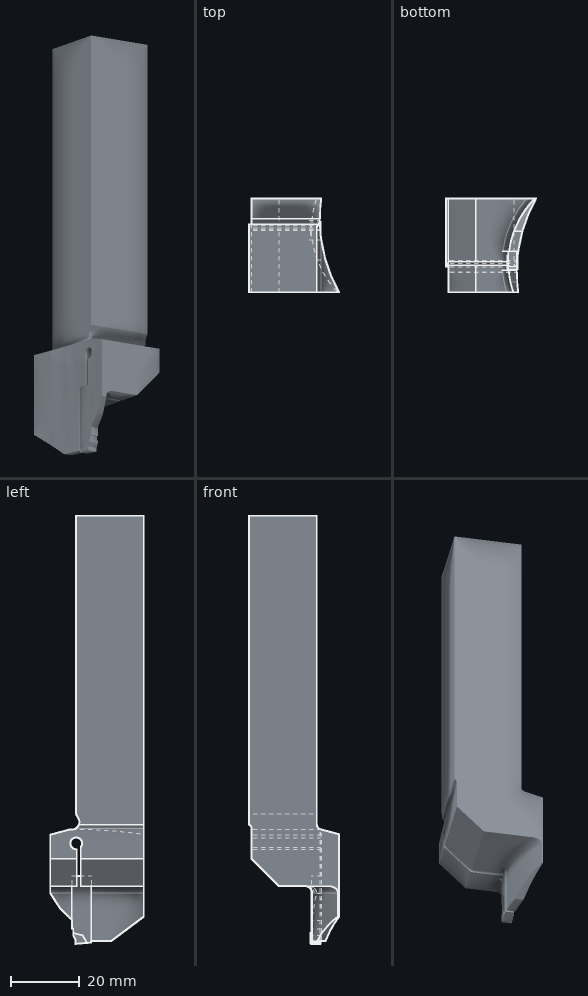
import cadquery as cq
import math


TOTAL_HEIGHT = 125
HEAD_RIGHT = 26.4
HEAD_DEPTH = 27.4

SHANK_SIZE = 19.9
RELIEF_DEPTH = 0.8
RELIEF_TOP = 38.0
RELIEF_FILLET_TOP = 36.6
NECK_Z = 34.9

HEAD_LEFT = 0.8
HEAD_BOTTOM = 16.9
HEAD_CHAMFER = 8.0
HEAD_LEFT_TOP = 33.8
LEDGE_START_Z = 33.5
RIGHT_LEDGE_OFFSET = 1.1
BACK_LEDGE_OFFSET = 1.6
LEDGE_ANGLE = 15

BLADE_OUTER_AXIS_Y = 18.8
BLADE_OUTER_X = 18.2
BLADE_OUTER_FRONT_X = 26.0
BLADE_INNER_AXIS_Y = 21.2
BLADE_INNER_X = 20.8
BLADE_FILLET = 1.9
BLADE_TIP_Z = 0.9
BLADE_FRONT_Z = 8.0
BLADE_TIP_FRONT_Y = 9.5
JAW_TIP_Z = 7.0
JAW_KNEE_Y = 24.4
JAW_KNEE_Z = 10.2
JAW_BACK_Z = 14.9

SLIT_Y = 19.0
SLIT_WIDTH = 1.1
SLIT_HOLE_Y = 19.8
SLIT_HOLE_Z = 29.4
SLIT_HOLE_DIAMETER = 3.4

INSERT_FRONT_Y = 15.4
INSERT_BACK_Y = 21.0
INSERT_TOP = 19.9
EDGE_OVERHANG = 0.2
RAKE_TOP_Z = 4.5
RAKE_Y = 20.6
EDGE_Y = 20.0
EDGE_Z = 1.2
RAKE_BOTTOM_Z = 2.5
HEEL_Z = 0.4
WIDE_END_TOP = 3.2
WIDE_END_SHOULDER_Y = 17.9
WIDE_END_SHOULDER_Z = 2.5
WIDE_END_FRONT_Y = 16.6
EDGE_CORNER_RADIUS = 0.2


def circle_radius(sagitta, half_chord):
    """Radius of the circle whose arc has this sagitta over this half chord."""
    return (half_chord**2 + sagitta**2) / (2 * sagitta)


def extrude_along_x(points, x_start, x_end):
    """Prism with a (Y, Z) outline between two X positions."""
    return cq.Workplane("YZ", origin=(x_start, 0, 0)).polyline(points).close().extrude(x_end - x_start)


def block(x_range, y_range, z_range):
    """Box given by its limits on each axis."""
    sizes = [high - low for low, high in (x_range, y_range, z_range)]
    return cq.Workplane("XY").box(*sizes, centered=False).translate((x_range[0], y_range[0], z_range[0]))


def ledge_end_z(length):
    """Height of a sloping ledge at this distance from its start."""
    return LEDGE_START_Z - length * math.tan(math.radians(LEDGE_ANGLE))


def make_shank_and_head():
    right_ledge_x = SHANK_SIZE + RIGHT_LEDGE_OFFSET
    side_outline = (
        cq.Workplane("XZ")
        .moveTo(0, TOTAL_HEIGHT)
        .lineTo(SHANK_SIZE, TOTAL_HEIGHT)
        .lineTo(SHANK_SIZE, NECK_Z)
        .tangentArcPoint((right_ledge_x, LEDGE_START_Z), relative=False)
        .lineTo(HEAD_RIGHT, ledge_end_z(HEAD_RIGHT - right_ledge_x))
        .lineTo(HEAD_RIGHT, HEAD_BOTTOM)
        .lineTo(HEAD_LEFT + HEAD_CHAMFER, HEAD_BOTTOM)
        .lineTo(HEAD_LEFT, HEAD_BOTTOM + HEAD_CHAMFER)
        .lineTo(HEAD_LEFT, HEAD_LEFT_TOP)
        .tangentArcPoint((0, NECK_Z), relative=False)
        .close()
        .extrude(-HEAD_DEPTH)
    )
    back_ledge_y = SHANK_SIZE + BACK_LEDGE_OFFSET
    relief_y = SHANK_SIZE - RELIEF_DEPTH
    back_outline = (
        cq.Workplane("YZ")
        .moveTo(0, HEAD_BOTTOM)
        .lineTo(0, TOTAL_HEIGHT)
        .lineTo(SHANK_SIZE, TOTAL_HEIGHT)
        .lineTo(SHANK_SIZE, RELIEF_TOP)
        .lineTo(relief_y, RELIEF_FILLET_TOP)
        .tangentArcPoint((back_ledge_y, LEDGE_START_Z), relative=False)
        .lineTo(HEAD_DEPTH, ledge_end_z(HEAD_DEPTH - back_ledge_y))
        .lineTo(HEAD_DEPTH, HEAD_BOTTOM)
        .close()
        .extrude(HEAD_RIGHT)
    )
    return side_outline.intersect(back_outline)


def make_blade():
    radius = circle_radius(BLADE_OUTER_FRONT_X - BLADE_OUTER_X, BLADE_OUTER_AXIS_Y)
    flare_mid = BLADE_FILLET * (1 - math.sqrt(0.5))
    drum = (
        cq.Workplane("XZ")
        .lineTo(radius, 0)
        .lineTo(radius, HEAD_BOTTOM - BLADE_FILLET)
        .threePointArc(
            (radius + flare_mid, HEAD_BOTTOM - flare_mid),
            (radius + BLADE_FILLET, HEAD_BOTTOM),
        )
        .lineTo(0, HEAD_BOTTOM)
        .close()
        .revolve(360, (0, 0), (0, 1))
        .translate((BLADE_OUTER_X + radius, BLADE_OUTER_AXIS_Y, 0))
    )
    outline = [
        (0, HEAD_BOTTOM),
        (0, BLADE_FRONT_Z),
        (BLADE_TIP_FRONT_Y, BLADE_TIP_Z),
        (INSERT_FRONT_Y, BLADE_TIP_Z),
        (INSERT_BACK_Y, JAW_TIP_Z),
        (JAW_KNEE_Y, JAW_KNEE_Z),
        (HEAD_DEPTH, JAW_BACK_Z),
        (HEAD_DEPTH, HEAD_BOTTOM),
    ]
    return drum.intersect(extrude_along_x(outline, 0, HEAD_RIGHT))


def make_concave_side():
    radius = circle_radius(HEAD_RIGHT - BLADE_INNER_X, BLADE_INNER_AXIS_Y)
    return (
        cq.Workplane("XY")
        .center(BLADE_INNER_X + radius, BLADE_INNER_AXIS_Y)
        .circle(radius)
        .extrude(TOTAL_HEIGHT)
    )


def make_clamping_slit():
    slit = block(
        (0, HEAD_RIGHT),
        (SLIT_Y - SLIT_WIDTH / 2, SLIT_Y + SLIT_WIDTH / 2),
        (HEAD_BOTTOM, SLIT_HOLE_Z),
    )
    hole = (
        cq.Workplane("YZ")
        .center(SLIT_HOLE_Y, SLIT_HOLE_Z)
        .circle(SLIT_HOLE_DIAMETER / 2)
        .extrude(HEAD_RIGHT)
    )
    return slit.union(hole)


def make_insert_pocket():
    insert_span = (INSERT_FRONT_Y, INSERT_BACK_Y)
    seat = block((BLADE_OUTER_X, HEAD_RIGHT), insert_span, (0, INSERT_TOP))
    left_opening = block((0, BLADE_OUTER_X), insert_span, (0, HEAD_BOTTOM))
    return seat.union(left_opening)


def make_holder():
    return (
        make_shank_and_head()
        .union(make_blade())
        .cut(make_concave_side())
        .cut(make_clamping_slit())
        .cut(make_insert_pocket())
    )


def make_insert():
    body_outline = [
        (INSERT_FRONT_Y, HEEL_Z),
        (INSERT_FRONT_Y, INSERT_TOP),
        (INSERT_BACK_Y, INSERT_TOP),
        (INSERT_BACK_Y, RAKE_TOP_Z),
        (RAKE_Y, RAKE_TOP_Z),
        (RAKE_Y, RAKE_BOTTOM_Z),
        (EDGE_Y, EDGE_Z),
        (EDGE_Y, 0),
    ]
    body = extrude_along_x(body_outline, BLADE_OUTER_X, BLADE_INNER_X)
    edge_outline = [
        (RAKE_Y, WIDE_END_TOP),
        (RAKE_Y, RAKE_BOTTOM_Z),
        (EDGE_Y, EDGE_Z),
        (EDGE_Y, 0),
        (WIDE_END_FRONT_Y, HEEL_Z),
        (WIDE_END_SHOULDER_Y, WIDE_END_SHOULDER_Z),
    ]
    cutting_end = extrude_along_x(
        edge_outline, BLADE_OUTER_X - EDGE_OVERHANG, BLADE_INNER_X + EDGE_OVERHANG
    )
    cutting_end = cutting_end.faces("<Z").edges("<X or >X").fillet(EDGE_CORNER_RADIUS)
    return body.union(cutting_end)


holder = make_holder()
insert = make_insert()

result = cq.Compound.makeCompound([holder.solids().val(), insert.solids().val()])